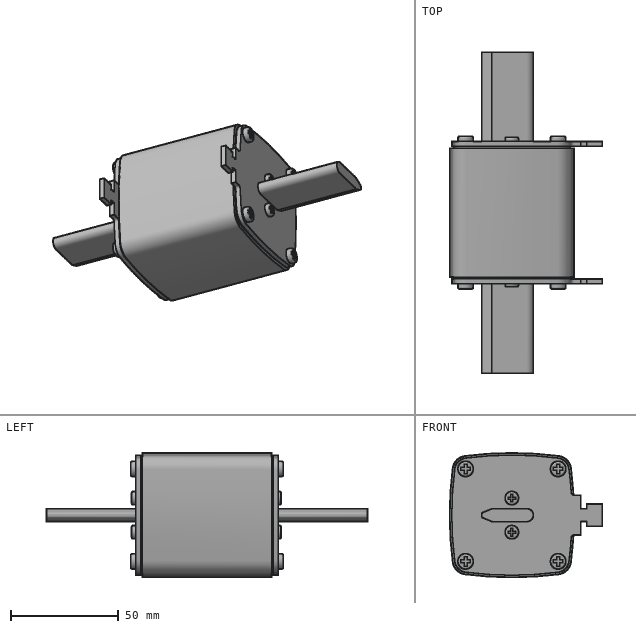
import cadquery as cq
import math


total_length = 149.5
body_half_width = 29.0
body_length = 60.1

corner_radius = 6.9
corner_centre = 20.8

gasket_inset = 1.8
gasket_thickness = 0.7
plate_inset = 1.0
plate_thickness = 2.4
gasket_start = body_length / 2
plate_start = gasket_start + gasket_thickness
plate_face = plate_start + plate_thickness

lug_root_half_height = 9.3
lug_root_end = 32.1
lug_root_fillet = 1.5
lug_neck_half_height = 3.0
lug_neck_end = 34.8
lug_head_half_height = 5.2
lug_tip = 42.2

blade_half_thickness = 3.0
blade_round_centre = 7.0
blade_taper_start = -9.3
blade_edge = -14.0
blade_edge_half_thickness = 1.0
blade_edge_fillet = 1.0

corner_screw_offset = 21.5
corner_head_radius = 3.6
corner_head_height = 2.4
corner_recess_width = 1.3
corner_recess_length = 4.5
corner_recess_depth = 1.2

blade_screw_offset = 7.9
blade_head_radius = 3.1
blade_head_height_front = 1.3
blade_head_height_back = 2.0
blade_recess_width = 0.9
blade_recess_length = 3.6
blade_recess_depth = 0.9

head_fillet = 0.9


def end_plane(y_distance):
    """Sketch plane facing -Y at the given distance in front of the origin."""
    return cq.Workplane("XZ", origin=(0, -y_distance, 0))


def bulged_square(plane, inset):
    """Square outline with outward-bowed sides running tangent into round corners."""
    centre_to_side = corner_centre - body_half_width
    side_radius = (corner_radius**2 - corner_centre**2 - centre_to_side**2) / (
        2 * (centre_to_side + corner_radius)
    )
    tangent_angle = math.asin(corner_centre / (side_radius - corner_radius))
    radius = corner_radius - inset
    near = corner_centre + radius * math.sin(tangent_angle)
    far = corner_centre + radius * math.cos(tangent_angle)
    diagonal = corner_centre + radius * math.sqrt(0.5)
    middle = body_half_width - inset

    return (
        plane.moveTo(-near, far)
        .threePointArc((0, middle), (near, far))
        .threePointArc((diagonal, diagonal), (far, near))
        .threePointArc((middle, 0), (far, -near))
        .threePointArc((diagonal, -diagonal), (near, -far))
        .threePointArc((0, -middle), (-near, -far))
        .threePointArc((-diagonal, -diagonal), (-far, -near))
        .threePointArc((-middle, 0), (-far, near))
        .threePointArc((-diagonal, diagonal), (-near, far))
        .close()
    )


def make_blade():
    """One bar through the whole part: full round at +X, tapered to a narrow edge at -X."""
    return (
        end_plane(-total_length / 2)
        .moveTo(blade_edge, -blade_edge_half_thickness)
        .lineTo(blade_taper_start, -blade_half_thickness)
        .lineTo(blade_round_centre, -blade_half_thickness)
        .threePointArc(
            (blade_round_centre + blade_half_thickness, 0),
            (blade_round_centre, blade_half_thickness),
        )
        .lineTo(blade_taper_start, blade_half_thickness)
        .lineTo(blade_edge, blade_edge_half_thickness)
        .close()
        .extrude(total_length)
        .faces("<X")
        .edges("|Y")
        .fillet(blade_edge_fillet)
    )


def make_plate():
    """Cover plate with its stepped gripping lug."""
    plate = bulged_square(end_plane(plate_start), plate_inset).extrude(plate_thickness)
    lug_half = [
        (0, lug_root_half_height),
        (lug_root_end, lug_root_half_height),
        (lug_root_end, lug_neck_half_height),
        (lug_neck_end, lug_neck_half_height),
        (lug_neck_end, lug_head_half_height),
        (lug_tip, lug_head_half_height),
    ]
    lug_mirrored = [(x, -z) for x, z in reversed(lug_half)]
    lug = end_plane(plate_start).polyline(lug_half + lug_mirrored).close().extrude(plate_thickness)
    root_zone = cq.selectors.BoxSelector(
        (corner_centre, -plate_face, -lug_root_half_height - lug_root_fillet),
        (body_half_width, -plate_start, lug_root_half_height + lug_root_fillet),
    )
    return plate.union(lug).edges("|Y").edges(root_zone).fillet(lug_root_fillet)


def screw_head(x, z, radius, height, recess_width, recess_length, recess_depth):
    """Round-edged screw head with a cross recess, seated on the plate face."""
    head = end_plane(plate_face).center(x, z).circle(radius).extrude(height)
    head = head.faces("<Y").edges().fillet(head_fillet)
    recess_floor = end_plane(plate_face + height - recess_depth).center(x, z)
    for length, width in ((recess_length, recess_width), (recess_width, recess_length)):
        head = head.cut(recess_floor.rect(length, width).extrude(recess_depth))
    return head


def make_end(blade_head_height):
    """Gasket, plate and screws of the -Y end."""
    end = bulged_square(end_plane(gasket_start), gasket_inset).extrude(gasket_thickness)
    end = end.union(make_plate())
    for side in (-1, 1):
        end = end.union(
            screw_head(0, side * blade_screw_offset, blade_head_radius, blade_head_height,
                       blade_recess_width, blade_recess_length, blade_recess_depth)
        )
        for level in (-1, 1):
            end = end.union(
                screw_head(side * corner_screw_offset, level * corner_screw_offset,
                           corner_head_radius, corner_head_height,
                           corner_recess_width, corner_recess_length, corner_recess_depth)
            )
    return end


body = bulged_square(end_plane(-body_length / 2), 0).extrude(body_length)
front_end = make_end(blade_head_height_front)
back_end = make_end(blade_head_height_back).mirror("XZ")

result = body.union(front_end).union(back_end).union(make_blade()).solids()